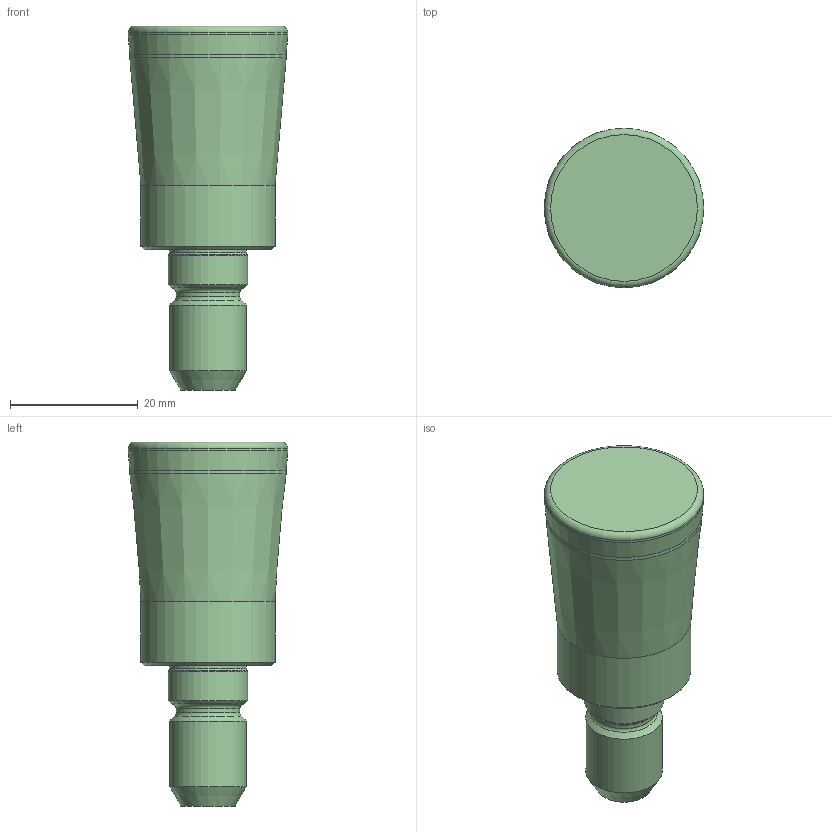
import cadquery as cq
import math


eighth_turn = math.pi / 4

pin_radius = 6.0
pin_top = 13.3
tip_height = 3.0
tip_half_angle = math.radians(30)

groove_radius = 5.0
groove_fillet = 0.75
groove_wall_angle = math.radians(45)
groove_top_edge = 16.0

collar_radius = 6.25
collar_cone_start = 21.1
collar_cone_angle = math.radians(45)
neck_radius = 6.0
neck_fillet = 0.45

knob_bottom = 22.0
knob_base_radius = 10.5
knob_base_height = 10.0
knob_chamfer = 0.5
grip_height = 20.0
grip_taper = math.radians(5)
cap_band_height = 0.6
cap_taper_height = 3.0
cap_radius = 12.5
cap_fillet = 1.0
total_height = 57.0


def arc_point(center_radius, center_z, radius, angle):
    """Point (r, z) on a circle, with the angle measured from the outward direction."""
    return (center_radius + radius * math.cos(angle), center_z + radius * math.sin(angle))


def add_pin(profile):
    """Conical tip, cylindrical pin and the conical wall that leads into the groove."""
    tip_radius = pin_radius - tip_height * math.tan(tip_half_angle)
    profile = profile.lineTo(tip_radius, 0)
    profile = profile.lineTo(pin_radius, tip_height)
    return profile.lineTo(pin_radius, pin_top)


def add_groove(profile):
    """Groove with a rounded conical lower wall and a quarter-round upper corner."""
    wall_height = (pin_radius - groove_radius) / math.tan(groove_wall_angle)
    tangent_length = groove_fillet * math.tan(groove_wall_angle / 2)
    lower_center_z = pin_top + wall_height + tangent_length
    upper_center_z = groove_top_edge - groove_fillet
    center_radius = groove_radius + groove_fillet
    wall_end_angle = math.pi + groove_wall_angle
    mid_angle = math.pi + groove_wall_angle / 2

    wall_end = arc_point(center_radius, lower_center_z, groove_fillet, wall_end_angle)
    lower_mid = arc_point(center_radius, lower_center_z, groove_fillet, mid_angle)
    upper_mid = arc_point(center_radius, upper_center_z, groove_fillet, math.pi - eighth_turn)
    profile = profile.lineTo(*wall_end)
    profile = profile.threePointArc(lower_mid, (groove_radius, lower_center_z))
    profile = profile.lineTo(groove_radius, upper_center_z)
    return profile.threePointArc(upper_mid, (center_radius, groove_top_edge))


def add_collar(profile):
    """Collar with conical ends, joined to the neck by a concave fillet tangent to its upper cone."""
    center_radius = neck_radius + neck_fillet
    cone_end_radius = center_radius - neck_fillet * math.cos(collar_cone_angle)
    cone_end_z = collar_cone_start + (collar_radius - cone_end_radius) / math.tan(collar_cone_angle)
    center_z = cone_end_z + neck_fillet * math.sin(collar_cone_angle)
    fillet_mid = arc_point(center_radius, center_z, neck_fillet, math.pi + collar_cone_angle / 2)
    lower_chamfer = collar_radius - groove_radius - groove_fillet
    profile = profile.lineTo(collar_radius, groove_top_edge + lower_chamfer)
    profile = profile.lineTo(collar_radius, collar_cone_start)
    profile = profile.lineTo(cone_end_radius, cone_end_z)
    profile = profile.threePointArc(fillet_mid, (neck_radius, center_z))
    return profile.lineTo(neck_radius, knob_bottom)


def add_knob(profile):
    """Cylindrical base, tapered grip and the cap with its rounded top edge."""
    grip_bottom = knob_bottom + knob_base_height
    grip_top = grip_bottom + grip_height
    grip_top_radius = knob_base_radius + grip_height * math.tan(grip_taper)
    band_top = grip_top + cap_band_height
    fillet_center_radius = cap_radius - cap_fillet
    fillet_center_z = total_height - cap_fillet
    fillet_mid = arc_point(fillet_center_radius, fillet_center_z, cap_fillet, eighth_turn)

    profile = profile.lineTo(knob_base_radius - knob_chamfer, knob_bottom)
    profile = profile.lineTo(knob_base_radius, knob_bottom + knob_chamfer)
    profile = profile.lineTo(knob_base_radius, grip_bottom)
    profile = profile.lineTo(grip_top_radius, grip_top)
    profile = profile.lineTo(grip_top_radius, band_top)
    profile = profile.lineTo(cap_radius, band_top + cap_taper_height)
    profile = profile.lineTo(cap_radius, fillet_center_z)
    profile = profile.threePointArc(fillet_mid, (fillet_center_radius, total_height))
    return profile.lineTo(0, total_height)


outline = cq.Workplane("XZ").moveTo(0, 0)
outline = add_pin(outline)
outline = add_groove(outline)
outline = add_collar(outline)
outline = add_knob(outline)
result = outline.close().revolve(360, (0, 0, 0), (0, 1, 0))